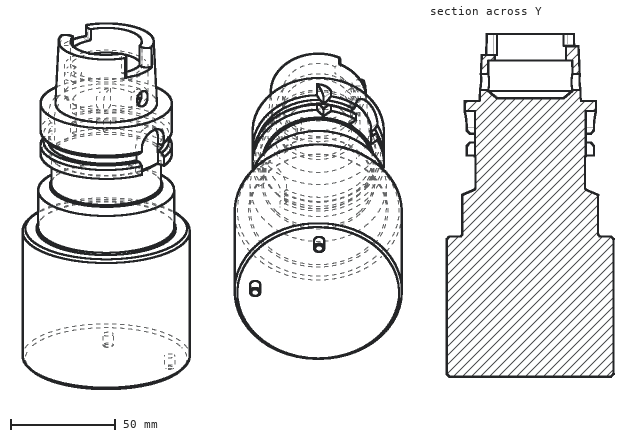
import cadquery as cq
import math

total_height = 169.9
body_bottom = 6.1
body_top = 73.2
shoulder_top = 93.1
shoulder_chamfer_top = 95.5
flange_bottom = 111.8
groove_bottom = 118.0
groove_top = 122.2
flange_top = 138.0

body_radius = 80.0 / 2
shoulder_radius = 65.0 / 2
neck_radius = 52.5 / 2
flange_radius = 62.9 / 2
groove_radius = 27.5
taper_base_radius = 24.3
taper_tip_radius = 22.8

body_chamfer = 1.4
groove_chamfer_height = 1.7
groove_lip_radius = 29.9
neck_relief = 0.7
shoulder_root_radius = 33.3
shoulder_root_height = 0.8

bore_radius = 34.0 / 2
chamber_radius = 40.1 / 2
chamber_top = 157.2
chamber_cone_top = 142.7
bore_floor = 139.3
bore_floor_radius = 16.0

drive_slot_width = 12.4
drive_corner_radius = 3.2
drive_corner_end = 20.9
shallow_slot_depth = 5.8
shallow_slot_fillet = 0.8
deep_slot_depth = 10.0

cutter_overrun = 1.7

cross_hole_diameter = 7.5
cross_hole_height = 147.0

keyway_width = 15.6
keyway_floor = 26.5
keyway_top = 133.0
notch_floor = 19.9
notch_width = 12.2
notch_inner_side = 19.5

pin_diameter = 5.0
pin_spacing = 40.1
pin_offset_y = 23.0
pin_chamfer = 0.5


def turned_body():
    """Revolve the stepped outer outline about Z."""
    outline = [
        (0, body_bottom),
        (body_radius - body_chamfer, body_bottom),
        (body_radius, body_bottom + body_chamfer),
        (body_radius, body_top - body_chamfer),
        (body_radius - body_chamfer, body_top),
        (shoulder_root_radius, body_top),
        (shoulder_radius, body_top + shoulder_root_height),
        (shoulder_radius, shoulder_top),
        (neck_radius + neck_relief, shoulder_chamfer_top),
        (neck_radius, shoulder_chamfer_top + neck_relief),
        (neck_radius, flange_bottom - neck_relief),
        (neck_radius + neck_relief, flange_bottom),
        (flange_radius, flange_bottom),
        (flange_radius, groove_bottom - groove_chamfer_height),
        (groove_lip_radius, groove_bottom),
        (groove_radius, groove_bottom),
        (groove_radius, groove_top),
        (groove_lip_radius, groove_top),
        (flange_radius, groove_top + groove_chamfer_height),
        (flange_radius, flange_top),
        (taper_base_radius, flange_top),
        (taper_tip_radius, total_height),
        (0, total_height),
    ]
    return cq.Workplane("XZ").polyline(outline).close().revolve(360, (0, 0), (0, 1))


def clamping_bore():
    """Blind bore from the tip that widens into the clamping chamber."""
    outline = [
        (0, bore_floor),
        (bore_floor_radius, bore_floor),
        (chamber_radius, chamber_cone_top),
        (chamber_radius, chamber_top),
        (bore_radius, chamber_top),
        (bore_radius, total_height),
        (0, total_height),
    ]
    return cq.Workplane("XZ").polyline(outline).close().revolve(360, (0, 0), (0, 1))


def drive_slot(side, depth):
    """Slot in the tip on one side of X that flares outward with rounded prong corners."""
    half_width = drive_slot_width / 2
    flare_half_width = half_width + drive_corner_radius
    arc_start = drive_corner_end - drive_corner_radius
    outer_end = taper_base_radius + cutter_overrun
    arc_middle_x = arc_start + drive_corner_radius * math.sin(math.pi / 4)
    arc_middle_y = flare_half_width - drive_corner_radius * math.cos(math.pi / 4)
    return (
        cq.Workplane("XY")
        .workplane(offset=total_height - depth)
        .moveTo(0, -half_width)
        .lineTo(side * arc_start, -half_width)
        .threePointArc((side * arc_middle_x, -arc_middle_y), (side * drive_corner_end, -flare_half_width))
        .lineTo(side * outer_end, -flare_half_width)
        .lineTo(side * outer_end, flare_half_width)
        .lineTo(side * drive_corner_end, flare_half_width)
        .threePointArc((side * arc_middle_x, arc_middle_y), (side * arc_start, half_width))
        .lineTo(0, half_width)
        .close()
        .extrude(depth)
    )


def keyway(side, width, center_y, floor):
    """Round-topped cutter, open at the flange underside, from the floor outward along X."""
    radius = width / 2
    return (
        cq.Workplane("YZ")
        .workplane(offset=side * floor)
        .moveTo(center_y - radius, flange_bottom)
        .lineTo(center_y - radius, keyway_top - radius)
        .threePointArc((center_y, keyway_top), (center_y + radius, keyway_top - radius))
        .lineTo(center_y + radius, flange_bottom)
        .close()
        .extrude(side * flange_radius)
    )


def pin(x):
    """Pin with a chamfered tip, hanging from the underside of the body."""
    return (
        cq.Workplane("XY")
        .center(x, pin_offset_y)
        .circle(pin_diameter / 2)
        .extrude(body_bottom + body_chamfer)
        .faces("<Z")
        .chamfer(pin_chamfer)
    )


result = turned_body().cut(clamping_bore())
shallow_slot = drive_slot(-1, shallow_slot_depth).faces("<Z").edges().fillet(shallow_slot_fillet)
result = result.cut(shallow_slot)
result = result.cut(drive_slot(1, deep_slot_depth))

cross_hole = (
    cq.Workplane("YZ")
    .center(0, cross_hole_height)
    .circle(cross_hole_diameter / 2)
    .extrude(taper_base_radius + cutter_overrun, both=True)
)
result = result.cut(cross_hole)

for side in (-1, 1):
    result = result.cut(keyway(side, keyway_width, 0, keyway_floor))
notch_center_y = notch_inner_side + notch_width / 2
result = result.cut(keyway(-1, notch_width, notch_center_y, notch_floor))

for x in (-pin_spacing / 2, pin_spacing / 2):
    result = result.union(pin(x))